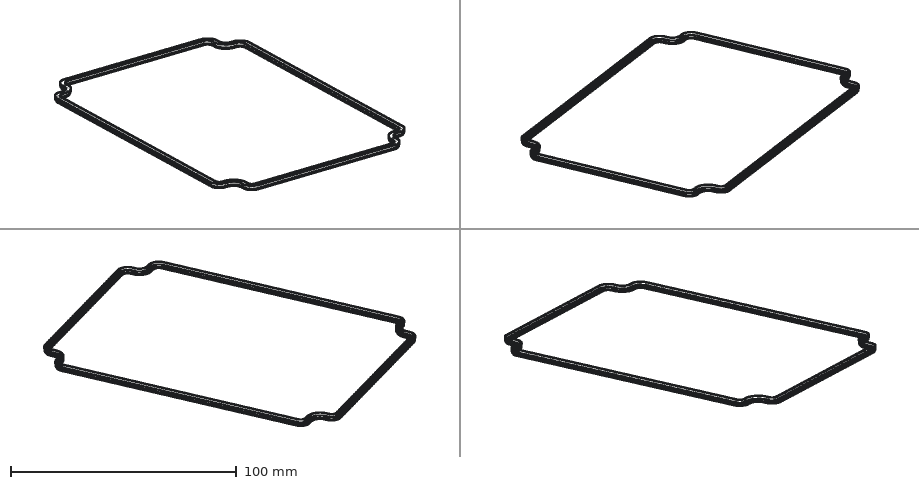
import cadquery as cq
import math

LENGTH = 145.3
WIDTH = 105.3
HEIGHT = 2.3

STRAND_WIDTH = 2.3
BEVEL_HEIGHT = 0.9
DRAFT_ANGLE = 5
BEVEL_ANGLE = 30
SIDE_HEIGHT = HEIGHT - BEVEL_HEIGHT
DRAFT_INSET = SIDE_HEIGHT * math.tan(math.radians(DRAFT_ANGLE))
BEVEL_INSET = DRAFT_INSET + BEVEL_HEIGHT * math.tan(math.radians(BEVEL_ANGLE))

NOTCH_DEPTH = 10.3
CORNER_RADIUS = 4.8
NOTCH_RADIUS = 4.0

ARC_MIDDLE = 1 - math.sqrt(0.5)


def rounded_corner(x, y, radius):
    """Return the start, middle and end of the arc rounding a corner whose sides run to -Y and -X.

    A negative radius turns the sides to +Y and +X.
    """
    middle = radius * ARC_MIDDLE
    return [(x, y - radius), (x - middle, y - middle), (x - radius, y)]


def corner_arcs(inset):
    """Return the three arcs of the +X +Y corner, going from the +X side to the +Y side.

    The arcs belong to the outer edge moved inwards by inset.
    """
    right = LENGTH / 2 - inset
    top = WIDTH / 2 - inset
    notch_x = right - NOTCH_DEPTH
    notch_y = top - NOTCH_DEPTH
    outer_radius = CORNER_RADIUS - inset
    notch_radius = NOTCH_RADIUS + inset
    return [
        rounded_corner(right, notch_y, outer_radius),
        rounded_corner(notch_x, notch_y, -notch_radius)[::-1],
        rounded_corner(notch_x, top, outer_radius),
    ]


def frame_arcs(inset):
    """Return the arcs of all four corners in counter-clockwise order."""
    arcs = []
    for x_side, y_side in ((1, 1), (-1, 1), (-1, -1), (1, -1)):
        corner = [[(x_side * x, y_side * y) for x, y in arc] for arc in corner_arcs(inset)]
        if x_side != y_side:
            corner = [arc[::-1] for arc in reversed(corner)]
        arcs += corner
    return arcs


def draw_outline(plane, inset):
    """Draw the closed outline, moved inwards by inset, on the given workplane."""
    first_arc, *other_arcs = frame_arcs(inset)
    outline = plane.moveTo(*first_arc[0]).threePointArc(*first_arc[1:])
    for start, middle, end in other_arcs:
        outline = outline.lineTo(*start).threePointArc(middle, end)
    return outline.close()


def leaning_plate(bottom, height, inset, angle):
    """Solid plate that spreads outwards by angle going up from its inset bottom outline."""
    plane = cq.Workplane("XY", origin=(0, 0, bottom))
    return draw_outline(plane, inset).extrude(height, taper=-angle)


def leaning_ring(bottom, height, inset, angle):
    """Closed strand that widens by angle on its outer and inner sides going up."""
    outside = leaning_plate(bottom, height, inset, angle)
    opening = leaning_plate(bottom, height, STRAND_WIDTH - inset, -angle)
    return outside.cut(opening)


lower = leaning_ring(0, BEVEL_HEIGHT, BEVEL_INSET, BEVEL_ANGLE)
upper = leaning_ring(BEVEL_HEIGHT, SIDE_HEIGHT, DRAFT_INSET, DRAFT_ANGLE)
result = lower.union(upper)